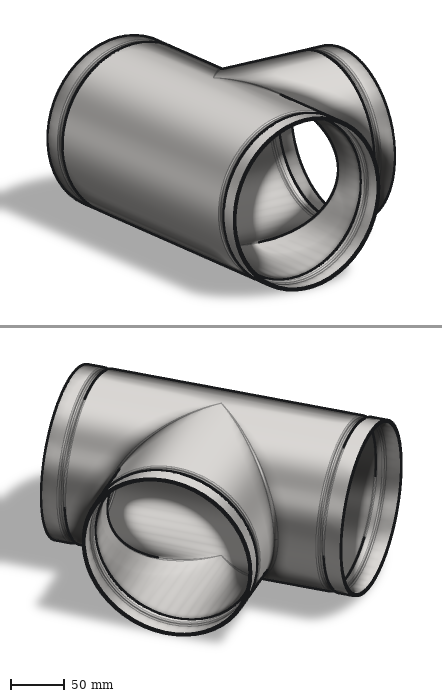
import cadquery as cq
run_length = 298.7
branch_reach = 149.4
pipe_radius = 168.2 / 2
bore_radius = 164.3 / 2

groove_radius = 163.5 / 2
bead_radius = 159.2 / 2
groove_center = 20.3
groove_width = 8.7
bead_width = 11.5
shoulder_run = 3.3

outer_fillet_radius = 3.0
inner_fillet_radius = outer_fillet_radius + pipe_radius - bore_radius
seam_margin = 21.0


def groove_outline(sketch, center, width, high, low):
    """Draw one groove along the pipe: S-shaped shoulder down, flat floor, S-shaped shoulder up."""
    start = center - width / 2
    end = center + width / 2
    half_run = shoulder_run / 2
    middle = (high + low) / 2
    return (
        sketch.lineTo(start, high)
        .tangentArcPoint((start + half_run, middle), relative=False)
        .tangentArcPoint((start + shoulder_run, low), relative=False)
        .lineTo(end - shoulder_run, low)
        .tangentArcPoint((end - half_run, middle), relative=False)
        .tangentArcPoint((end, high), relative=False)
    )


def grooved_rod(length, groove_centers, groove_span, radius, low_radius):
    """Solid rod along +X from the origin, with grooves at the given positions."""
    sketch = cq.Workplane("XY").lineTo(0, radius)
    for center in groove_centers:
        sketch = groove_outline(sketch, center, groove_span, radius, low_radius)
    sketch = sketch.lineTo(length, radius).lineTo(length, 0).close()
    return sketch.revolve(360, (0, 0, 0), (1, 0, 0))


def tee(groove_span, radius, low_radius):
    """Solid tee: run rod with a groove at both ends, branch rod with one at its free end."""
    run_grooves = [groove_center, run_length - groove_center]
    branch_grooves = [branch_reach - groove_center]
    run = grooved_rod(run_length, run_grooves, groove_span, radius, low_radius)
    branch = grooved_rod(branch_reach, branch_grooves, groove_span, radius, low_radius)
    run = run.translate((-run_length / 2, 0, 0))
    branch = branch.rotate((0, 0, 0), (0, 0, 1), 90)
    return run.union(branch)


def blend_seam(body, fillet_radius):
    """Fillet the seam between the run and branch of a solid tee.

    Run and branch have equal diameters, so the two halves of the seam meet at tips above
    and below the center where a fillet vanishes. One quarter of the seam, from a tip to
    the side, is filleted on its own and then joined to the tee in all four mirror positions.
    """
    corner_size = pipe_radius + seam_margin
    corner = cq.Workplane("XY").box(corner_size, corner_size, corner_size, centered=False)
    quarter = body.intersect(corner).edges("%ELLIPSE").fillet(fillet_radius)
    right_side = [quarter, quarter.mirror("XY")]
    left_side = [piece.mirror("YZ") for piece in right_side]
    for piece in right_side + left_side:
        body = body.union(piece)
    return body


outer = blend_seam(tee(groove_width, pipe_radius, groove_radius), outer_fillet_radius)
inner = blend_seam(tee(bead_width, bore_radius, bead_radius), inner_fillet_radius)
result = outer.cut(inner)